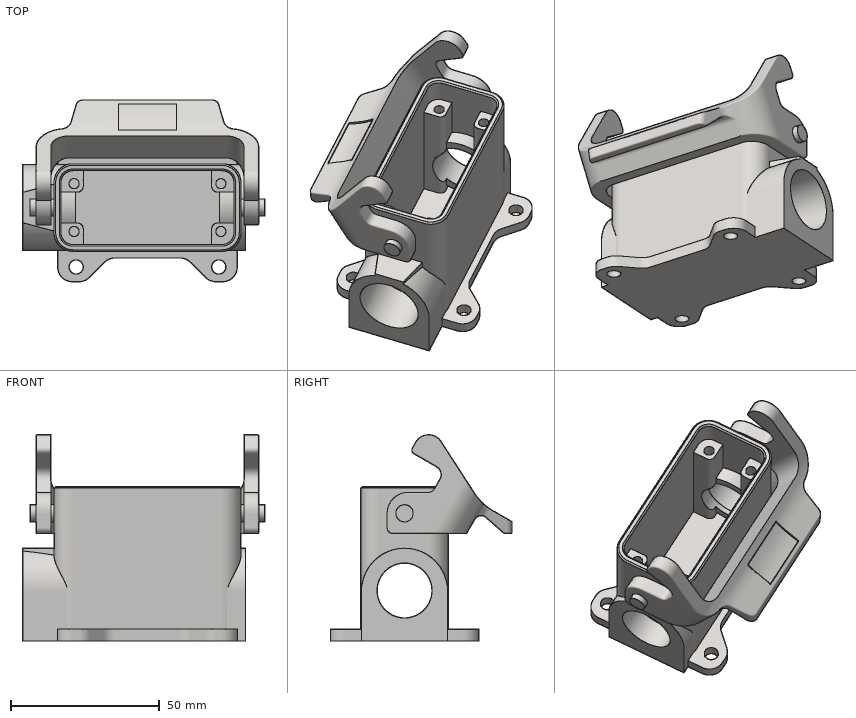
import cadquery as cq
import math


BOX_LENGTH = 62.9
BOX_WIDTH = 29.5
BOX_HEIGHT = 52.0
BOX_CORNER_R = 6.3
WALL = 2.35
RIM_CHAMFER = 0.55

FLANGE_THICKNESS = 4.0
FLANGE_HALF_LENGTH = 30.25
FLANGE_HALF_WIDTH = 25.0
WAIST_HALF_WIDTH = 17.0
WAIST_HALF_LENGTH = 13.0
FLANGE_R = 5.0
MOUNT_HOLE_X = 24.0
MOUNT_HOLE_Y = 20.0
MOUNT_HOLE_D = 4.7
FLOOR_Z = FLANGE_THICKNESS

TUNNEL_START_X = -42.0
TUNNEL_END_X = 33.0
TUNNEL_R = 14.5
TUNNEL_TOP_Z = 31.25
TUNNEL_ARC_Z = TUNNEL_TOP_Z - TUNNEL_R
BORE_Z = 17.0
ENTRY_BORE_R = 10.5
INNER_BORE_R = 9.2
ENTRY_BORE_DEPTH = 16.0
COLLAR_R = 12.0
COLLAR_INNER_X = 24.2
PAD_OUTER_HALF_WIDTH = 5.1
PAD_INNER_HALF_WIDTH = 7.9

BOSS_TOP_Z = 43.0
BOSS_INNER_X = 21.6
BOSS_INNER_Y = 5.2
BOSS_R = 2.0
BOSS_HOLE_X = 24.7
BOSS_HOLE_Y = 8.05
BOSS_HOLE_D = 3.4
BOSS_HOLE_DEPTH = 12.0

PIVOT_Z = 43.0
PIN_R = 2.9
PIN_END_X = 39.5

LEVER_HALF_LENGTH = 37.5
LEVER_INNER_HALF_LENGTH = 32.5
LEVER_BACK_THICKNESS = 3.6
LEVER_OUTER_R = 9.3
LEVER_INNER_R = 6.0
LEVER_EDGE_R = 0.5
BACK_LEAN = 30.0
LEVER_BOTTOM_Z = 36.15
EAR_R = 7.0
EAR_TOP_Z = PIVOT_Z + EAR_R
EAR_FRONT_Y = -5.85
EAR_BOTTOM_R = 1.9
HOOK_SLOT_R = 3.0
HOOK_NOSE_R = 5.0
HOOK_TIP_R = 1.5
HOOK_ROOT_R = 2.4
HANDLE_END_Y = 36.25
HANDLE_END_TOP_Z = 40.15
HANDLE_TOP_BEND_R = 18.0
HANDLE_UNDER_BEND_R = 2.5
HANDLE_ROOT_HALF_LENGTH = 26.5
HANDLE_TAPER = 14.3
HANDLE_CORNER_R = 2.2
HANDLE_FLARE_R = 4.0

HOOK_ROOT = (9.3, EAR_TOP_Z)
HOOK_SLOT = (13.4, 57.1)
HOOK_TIP = (1.9, 63.75)
HOOK_NOSE = (7.86, 74.05)
HANDLE_TOP_BEND = (25.9, 46.1)
HANDLE_UNDER_END_Y = 33.55
HANDLE_UNDER_BEND_Z = 43.56

LABEL_HALF_LENGTH = 9.7
LABEL_FLOOR_START = (26.1, 46.1)
LABEL_FLOOR_MIDDLE = (30.45, 42.6)
LABEL_FLOOR_END = (34.8, 40.45)

LEAN_REACH = 100.0
ALIGNED = 0.999


def rounded_outline(plane, corners):
    """Closed outline from (x, y, radius) corners; each nonzero radius becomes a tangent arc."""
    outline = None
    count = len(corners)
    for i, (x, y, radius) in enumerate(corners):
        before = cq.Vector(*corners[i - 1][:2])
        after = cq.Vector(*corners[(i + 1) % count][:2])
        corner = cq.Vector(x, y)
        to_before = (before - corner).normalized()
        to_after = (after - corner).normalized()
        half_angle = to_before.getAngle(to_after) / 2
        setback = radius / math.tan(half_angle)
        start = corner + to_before * setback
        if outline is None:
            outline = plane.moveTo(start.x, start.y)
        else:
            outline = outline.lineTo(start.x, start.y)
        if radius:
            bisector = (to_before + to_after).normalized()
            middle = corner + bisector * (radius / math.sin(half_angle) - radius)
            end = corner + to_after * setback
            outline = outline.threePointArc((middle.x, middle.y), (end.x, end.y))
    return outline.close()


def mirrored(half_corners):
    """Complete a corner list for the +x side with its mirror image."""
    return half_corners + [(-x, y, r) for x, y, r in reversed(half_corners)]


def x_cylinder(radius, start_x, end_x, z):
    return cq.Workplane("YZ", origin=(start_x, 0, z)).circle(radius).extrude(end_x - start_x)


def make_box():
    box = cq.Workplane("XY").rect(BOX_LENGTH, BOX_WIDTH).extrude(BOX_HEIGHT)
    return box.edges("|Z").fillet(BOX_CORNER_R)


def make_flange():
    side = [
        (FLANGE_HALF_LENGTH, -FLANGE_HALF_WIDTH, FLANGE_R),
        (WAIST_HALF_LENGTH + FLANGE_HALF_WIDTH - WAIST_HALF_WIDTH, -FLANGE_HALF_WIDTH, FLANGE_R),
        (WAIST_HALF_LENGTH, -WAIST_HALF_WIDTH, FLANGE_R),
    ]
    half = mirrored(side)
    opposite = [(-x, -y, r) for x, y, r in half]
    flange = rounded_outline(cq.Workplane("XY"), half + opposite).extrude(FLANGE_THICKNESS)
    holes = (
        cq.Workplane("XY")
        .rect(2 * MOUNT_HOLE_X, 2 * MOUNT_HOLE_Y, forConstruction=True)
        .vertices()
        .circle(MOUNT_HOLE_D / 2)
        .extrude(FLANGE_THICKNESS)
    )
    return flange.cut(holes)


def make_tunnel():
    """Arched tunnel body with a flat wedge-shaped pad on top of its entry end."""
    tunnel = (
        cq.Workplane("YZ", origin=(TUNNEL_START_X, 0, 0))
        .moveTo(-TUNNEL_R, 0)
        .lineTo(-TUNNEL_R, TUNNEL_ARC_Z)
        .threePointArc((0, TUNNEL_TOP_Z), (TUNNEL_R, TUNNEL_ARC_Z))
        .lineTo(TUNNEL_R, 0)
        .close()
        .extrude(TUNNEL_END_X - TUNNEL_START_X)
    )
    pad = (
        cq.Workplane("XY", origin=(0, 0, TUNNEL_ARC_Z))
        .polyline([
            (TUNNEL_START_X, -PAD_OUTER_HALF_WIDTH),
            (-BOX_LENGTH / 2, -PAD_INNER_HALF_WIDTH),
            (-BOX_LENGTH / 2, PAD_INNER_HALF_WIDTH),
            (TUNNEL_START_X, PAD_OUTER_HALF_WIDTH),
        ])
        .close()
        .extrude(TUNNEL_R)
    )
    return tunnel.union(pad)


def make_cavity():
    """Space inside the box, around the corner bosses and the bore collars."""
    length = BOX_LENGTH - 2 * WALL
    width = BOX_WIDTH - 2 * WALL
    cavity = (
        cq.Workplane("XY", origin=(0, 0, FLOOR_Z))
        .rect(length, width)
        .extrude(BOX_HEIGHT - FLOOR_Z)
        .edges("|Z")
        .fillet(BOX_CORNER_R - WALL)
    )
    boss_length = BOX_LENGTH / 2 - BOSS_INNER_X
    boss_width = BOX_WIDTH / 2 - BOSS_INNER_Y
    for side_x in (-1, 1):
        for side_y in (-1, 1):
            boss = (
                cq.Workplane("XY")
                .center(
                    side_x * (BOSS_INNER_X + boss_length / 2),
                    side_y * (BOSS_INNER_Y + boss_width / 2),
                )
                .rect(boss_length, boss_width)
                .extrude(BOSS_TOP_Z)
                .edges("|Z")
                .fillet(BOSS_R)
            )
            cavity = cavity.cut(boss)
        collar = x_cylinder(COLLAR_R, side_x * COLLAR_INNER_X, side_x * BOX_LENGTH / 2, BORE_Z)
        cavity = cavity.cut(collar)
    return cavity


def make_boss_holes():
    return (
        cq.Workplane("XY", origin=(0, 0, BOSS_TOP_Z))
        .rect(2 * BOSS_HOLE_X, 2 * BOSS_HOLE_Y, forConstruction=True)
        .vertices()
        .circle(BOSS_HOLE_D / 2)
        .extrude(-BOSS_HOLE_DEPTH)
    )


def make_housing():
    housing = make_box().union(make_tunnel()).union(make_flange())
    housing = housing.cut(make_cavity())
    housing = housing.faces(">Z").edges().chamfer(RIM_CHAMFER)
    housing = housing.cut(x_cylinder(INNER_BORE_R, TUNNEL_START_X, TUNNEL_END_X, BORE_Z))
    entry_end_x = TUNNEL_START_X + ENTRY_BORE_DEPTH
    housing = housing.cut(x_cylinder(ENTRY_BORE_R, TUNNEL_START_X, entry_end_x, BORE_Z))
    return housing.cut(make_boss_holes())


def make_lever_profile():
    """Side profile of the lever (y, z) extruded over its full length."""
    back_slope = math.tan(math.radians(BACK_LEAN))
    corners = [
        (EAR_FRONT_Y, LEVER_BOTTOM_Z, EAR_BOTTOM_R),
        (EAR_FRONT_Y, EAR_TOP_Z, EAR_R),
        (*HOOK_ROOT, HOOK_ROOT_R),
        (*HOOK_SLOT, HOOK_SLOT_R),
        (*HOOK_TIP, HOOK_TIP_R),
        (*HOOK_NOSE, HOOK_NOSE_R),
        (*HANDLE_TOP_BEND, HANDLE_TOP_BEND_R),
        (HANDLE_END_Y, HANDLE_END_TOP_Z, 0),
        (HANDLE_END_Y, LEVER_BOTTOM_Z, 0),
        (HANDLE_UNDER_END_Y, LEVER_BOTTOM_Z, 0),
        (HANDLE_UNDER_BEND_Z * back_slope, HANDLE_UNDER_BEND_Z, HANDLE_UNDER_BEND_R),
        (LEVER_BOTTOM_Z * back_slope, LEVER_BOTTOM_Z, 0),
    ]
    plane = cq.Workplane("YZ", origin=(-LEVER_HALF_LENGTH, 0, 0))
    return rounded_outline(plane, corners).extrude(2 * LEVER_HALF_LENGTH)


def lean_workplane():
    """Plane square to the leaning back wall; its second axis is 0 on the wall's outer face."""
    lean = math.radians(BACK_LEAN)
    normal = (0, math.sin(lean), math.cos(lean))
    return cq.Workplane(cq.Plane(origin=(0, 0, 0), xDir=(1, 0, 0), normal=normal))


def make_lean_prism(half_length, back, radius):
    """Round-cornered prism running along the leaning back wall, open toward the front."""
    corners = mirrored([(half_length, -LEAN_REACH, 0), (half_length, back, radius)])
    return rounded_outline(lean_workplane(), corners).extrude(LEAN_REACH)


def make_outer_prism():
    """Outer outline of the lever: rounded back with the tapered handle flaring out of it."""
    reach = HANDLE_END_Y
    end_half_length = HANDLE_ROOT_HALF_LENGTH - reach * math.tan(math.radians(HANDLE_TAPER))
    corners = mirrored([(HANDLE_ROOT_HALF_LENGTH, 0, 0), (end_half_length, reach, 0)])
    handle = rounded_outline(lean_workplane(), corners).extrude(LEAN_REACH)
    outer = make_lean_prism(LEVER_HALF_LENGTH, 0, LEVER_OUTER_R).union(handle)
    for root_x in (-HANDLE_ROOT_HALF_LENGTH, HANDLE_ROOT_HALF_LENGTH):
        middle = lean_workplane().plane.toWorldCoords((root_x, 0, LEAN_REACH / 2))
        root = cq.selectors.NearestToPointSelector(middle.toTuple())
        outer = outer.edges(root).fillet(HANDLE_FLARE_R)
    return outer


def make_label_recess():
    return (
        cq.Workplane("YZ", origin=(-LABEL_HALF_LENGTH, 0, 0))
        .moveTo(*LABEL_FLOOR_START)
        .threePointArc(LABEL_FLOOR_MIDDLE, LABEL_FLOOR_END)
        .lineTo(LABEL_FLOOR_END[0], EAR_TOP_Z)
        .lineTo(LABEL_FLOOR_START[0], EAR_TOP_Z)
        .close()
        .extrude(2 * LABEL_HALF_LENGTH)
    )


def is_outline_edge(edge):
    """True for edges where the lever's outer sides meet its top, hook and underside."""
    tangent = edge.tangentAt(0.5)
    lean = math.radians(BACK_LEAN)
    along_lean = abs(tangent.y * math.sin(lean) + tangent.z * math.cos(lean))
    along_side = along_lean > ALIGNED
    along_handle_corner = edge.Center().y > HANDLE_TOP_BEND[0] and abs(tangent.z) > ALIGNED
    return abs(tangent.x) < ALIGNED and not along_side and not along_handle_corner


def make_lever():
    lever = make_lever_profile().intersect(make_outer_prism())
    lever = lever.faces(">Y").edges("not |X").fillet(HANDLE_CORNER_R)
    lever = lever.newObject(lever.edges().filter(is_outline_edge).vals()).fillet(LEVER_EDGE_R)
    inner = make_lean_prism(LEVER_INNER_HALF_LENGTH, -LEVER_BACK_THICKNESS, LEVER_INNER_R)
    return lever.cut(inner).cut(make_label_recess())


def make_pins():
    left = x_cylinder(PIN_R, -PIN_END_X, -BOX_LENGTH / 2 + WALL / 2, PIVOT_Z)
    return left.union(left.mirror("YZ"))


result = make_housing().union(make_lever()).union(make_pins())